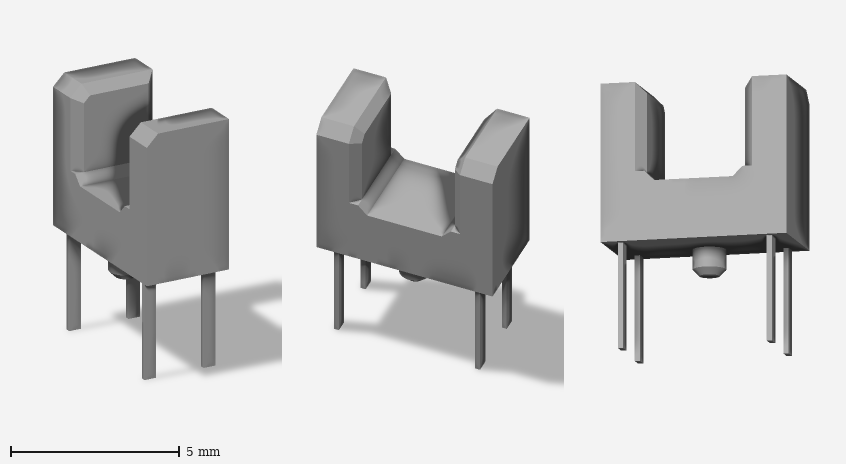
import cadquery as cq

WIDTH = 5.7
DEPTH = 2.8
HOUSING_HEIGHT = 4.8
SLOT_WIDTH = 3.0
FLOOR_HEIGHT = 1.8
SLOT_CHAMFER = 0.3
FRONT_CHAMFER = 0.38

PEG_RADIUS = 0.5
PEG_LENGTH = 0.8
PEG_CHAMFER = 0.2
PEG_Y = -0.54

LEAD_THICKNESS = 0.16
LEAD_WIDTH = 0.4
LEAD_PITCH_X = 4.56
LEAD_PITCH_Y = 2.02
LEAD_LENGTH = 8.0 - HOUSING_HEIGHT

ARM_WIDTH = (WIDTH - SLOT_WIDTH) / 2
LEDGE_HEIGHT = FLOOR_HEIGHT + SLOT_CHAMFER


def make_base():
    """Lower block with a shallow trough whose sides slope at 45 degrees."""
    half_width = WIDTH / 2
    half_slot = SLOT_WIDTH / 2
    half_floor = half_slot - SLOT_CHAMFER
    outline = [
        (-half_width, 0),
        (half_width, 0),
        (half_width, LEDGE_HEIGHT),
        (half_slot, LEDGE_HEIGHT),
        (half_floor, FLOOR_HEIGHT),
        (-half_floor, FLOOR_HEIGHT),
        (-half_slot, LEDGE_HEIGHT),
        (-half_width, LEDGE_HEIGHT),
    ]
    return cq.Workplane("XZ").polyline(outline).close().extrude(DEPTH / 2, both=True)


def make_left_arm():
    """Upright arm, bevelled at the top front and around its inner face."""
    arm = (
        cq.Workplane("XY")
        .box(ARM_WIDTH, DEPTH, HOUSING_HEIGHT - LEDGE_HEIGHT, centered=(False, True, False))
        .translate((-WIDTH / 2, 0, LEDGE_HEIGHT))
    )
    arm = arm.faces(">Z").edges("<Y").chamfer(FRONT_CHAMFER)
    return arm.faces(">X").edges("not <Z").chamfer(SLOT_CHAMFER)


def make_peg():
    """Round peg with a bevelled tip."""
    peg = cq.Workplane("XY").center(0, PEG_Y).circle(PEG_RADIUS).extrude(-PEG_LENGTH)
    return peg.faces("<Z").chamfer(PEG_CHAMFER)


def make_housing():
    left_arm = make_left_arm()
    right_arm = left_arm.mirror("YZ")
    return make_base().union(left_arm).union(right_arm).union(make_peg())


def make_lead(x, y):
    """Flat lead hanging from the underside of the housing."""
    return cq.Workplane("XY").center(x, y).rect(LEAD_THICKNESS, LEAD_WIDTH).extrude(-LEAD_LENGTH)


housing = make_housing()

leads = []
for side_x in (-1, 1):
    for side_y in (-1, 1):
        leads.append(make_lead(side_x * LEAD_PITCH_X / 2, side_y * LEAD_PITCH_Y / 2))

result = cq.Compound.makeCompound([housing.solids().val(), *[lead.val() for lead in leads]])